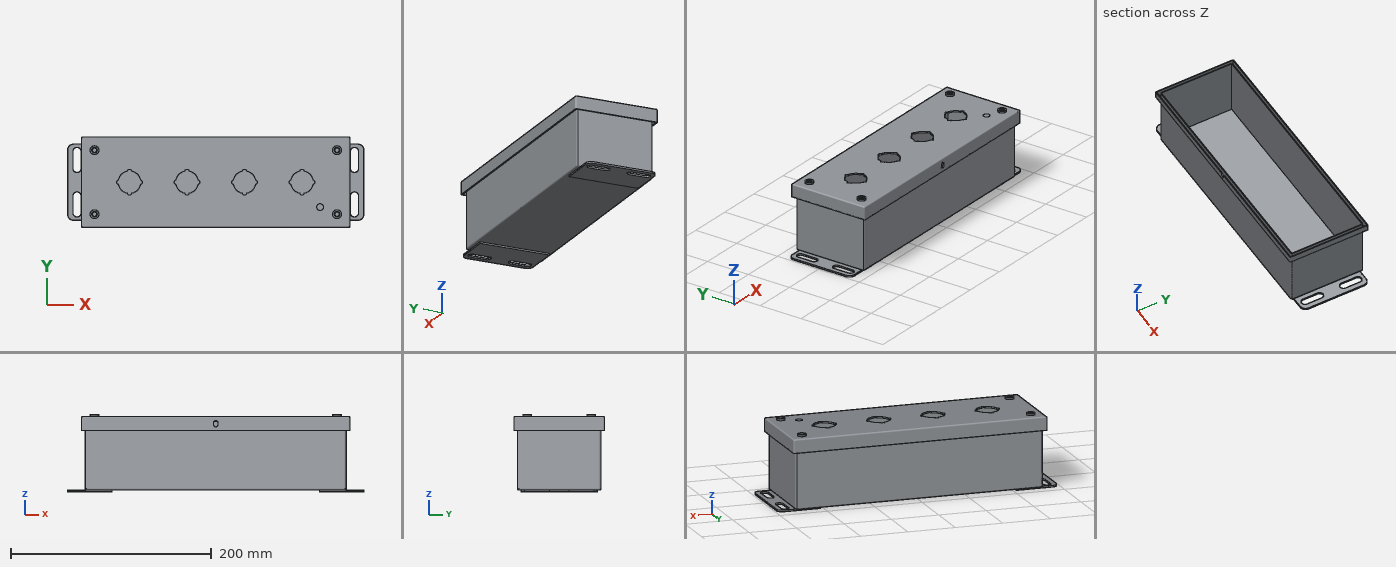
import cadquery as cq

foot_span = 295.3
total_height = 77.0
sheet = 1.5
foot_thickness = 1.8

lid_length = 267.5
lid_width = 90.5
lid_depth = 14.2
lid_edge_radius = 1.5
boss_height = 1.8
lid_top = total_height - boss_height
lid_bottom = lid_top - lid_depth
lid_underside = lid_top - sheet

skirt_step = 3.5
box_length = lid_length - 2 * skirt_step
box_width = lid_width - 2 * skirt_step
box_corner_radius = 2.5
box_bottom_radius = 1.5
box_rim = 70.0
box_height = box_rim - foot_thickness

foot_length = 44.3
foot_width = 76.2
foot_corner_radius = 6.2
foot_slot_width = 8.0
foot_slot_length = 24.8
foot_slot_x = 138.2
foot_slot_y = 22.0

boss_x = 120.8
boss_y = 32.0
boss_diameter = 9.0
boss_bore = 5.5
socket_diameter = 4.5
socket_depth = 1.2

button_count = 4
button_pitch = 57.3
button_diameter = 22.5
notch_span = 25.7
notch_width = 4.5

plug_diameter = 6.8
plug_x = 104.0
plug_y = -24.8
slot_width = 4.5
slot_height = 6.2
slot_z = 68.0


def block(length, width, height, base_z):
    """Rectangular block centred on the Z axis, standing on base_z."""
    return cq.Workplane("XY", origin=(0, 0, base_z)).rect(length, width).extrude(height)


def make_foot():
    """Right-hand mounting foot: a flat tab with two slots across its free end."""
    foot_x = (foot_span - foot_length) / 2
    foot = block(foot_length, foot_width, foot_thickness, 0).translate((foot_x, 0, 0))
    foot = foot.edges("|Z and >X").fillet(foot_corner_radius)
    slots = (
        cq.Workplane("XY")
        .pushPoints([(foot_slot_x, foot_slot_y), (foot_slot_x, -foot_slot_y)])
        .slot2D(foot_slot_length, foot_slot_width, 90)
        .extrude(foot_thickness)
    )
    return foot.cut(slots)


def make_box():
    """Open-topped sheet box with a mounting foot fixed under each end."""
    box = block(box_length, box_width, box_height, foot_thickness)
    box = box.edges("|Z").fillet(box_corner_radius)
    box = box.faces("<Z").edges().fillet(box_bottom_radius)
    cavity_length = box_length - 2 * sheet
    cavity_width = box_width - 2 * sheet
    floor_top = foot_thickness + sheet
    box = box.cut(block(cavity_length, cavity_width, box_height - sheet, floor_top))
    foot = make_foot()
    return box.union(foot).union(foot.mirror("YZ"))


def make_button_holes():
    """Cutters for the row of notched push-button holes."""
    first_x = -button_pitch * (button_count - 1) / 2
    centres = [(first_x + i * button_pitch, 0) for i in range(button_count)]
    plane = cq.Workplane("XY", origin=(0, 0, lid_underside)).pushPoints(centres)
    holes = plane.circle(button_diameter / 2).extrude(sheet)
    for angle in (0, 90):
        holes = holes.union(plane.slot2D(notch_span, notch_width, angle).extrude(sheet))
    return holes


def make_plug():
    """Round plug flush with both faces of the lid sheet."""
    plane = cq.Workplane("XY", origin=(plug_x, plug_y, lid_underside))
    return plane.circle(plug_diameter / 2).extrude(sheet)


def add_screw_bosses(lid):
    """Raised screw bosses near the lid corners, each with a stepped blind socket."""
    corners = [(x, y) for x in (-boss_x, boss_x) for y in (-boss_y, boss_y)]
    top = cq.Workplane("XY", origin=(0, 0, total_height)).pushPoints(corners)
    lid = lid.union(top.circle(boss_diameter / 2).extrude(-boss_height))
    lid = lid.cut(top.circle(boss_bore / 2).extrude(-socket_depth))
    return lid.cut(top.circle(socket_diameter / 2).extrude(-boss_height))


def make_lid():
    """Sheet lid with a skirt that hangs around the top of the box."""
    lid = block(lid_length, lid_width, lid_depth, lid_bottom)
    lid = lid.edges("|Z or >Z").fillet(lid_edge_radius)
    cavity_length = lid_length - 2 * sheet
    cavity_width = lid_width - 2 * sheet
    lid = lid.cut(block(cavity_length, cavity_width, lid_depth - sheet, lid_bottom))
    slot = (
        cq.Workplane("XZ", origin=(0, -lid_width / 2, slot_z))
        .slot2D(slot_height, slot_width, 90)
        .extrude(-sheet)
    )
    lid = add_screw_bosses(lid)
    return lid.cut(slot).cut(make_button_holes()).cut(make_plug())


box = make_box()
lid = make_lid()
plug = make_plug()

result = cq.Compound.makeCompound([box.val(), lid.val(), plug.val()])